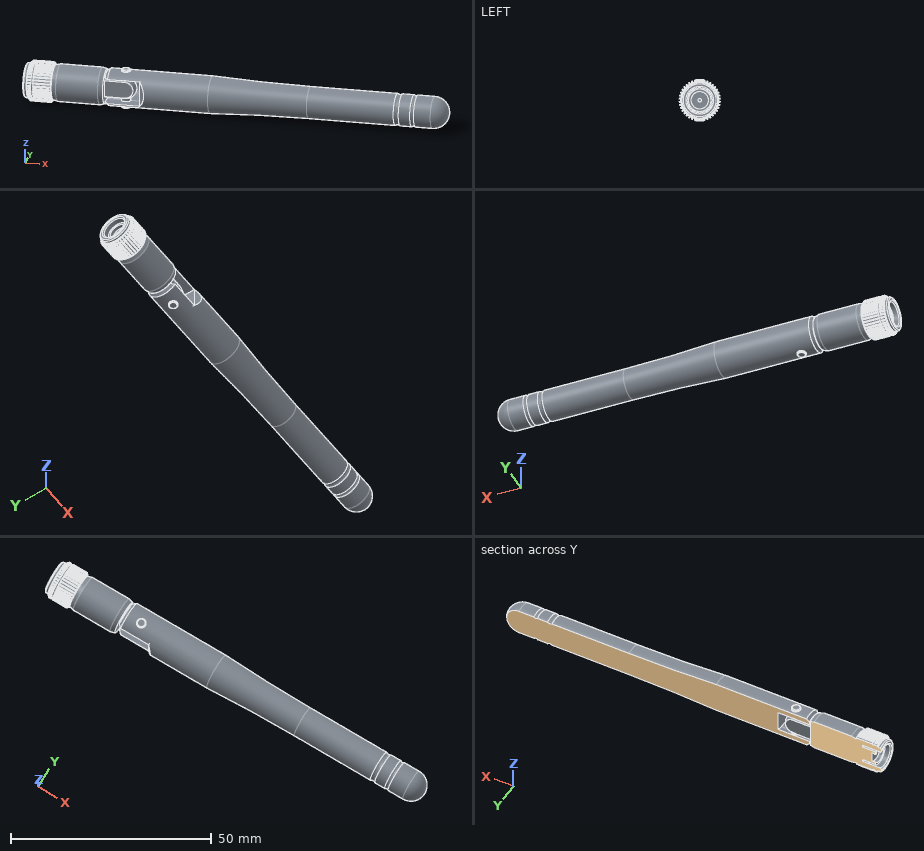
import cadquery as cq
import math


TOTAL_LENGTH = 108.2

LIP_RADIUS = 4.4
LIP_CHAMFER = 0.3
GRIP_START = 1.0
GRIP_END = 7.4
GRIP_DIAMETER = 10.3
GRIP_RADIUS = GRIP_DIAMETER / 2
GRIP_CHAMFER = 0.6
BAND_GROOVE_X = 2.2
BAND_GROOVE_WIDTH = 0.5
KNURL_ROOT_RADIUS = 4.7
KNURL_COUNT = 40
KNURL_GROOVE_WIDTH = 0.5

BARREL_RADIUS = 4.8
BARREL_START = GRIP_END
BARREL_END = 20.4
BARREL_EDGE_LENGTH = 1.2
BARREL_EDGE_RADIUS = 4.4

SOCKET_MOUTH_RADIUS = 3.5
SOCKET_RADIUS = 3.1
SOCKET_DEPTH = 5.4
FERRULE_OUTER_RADIUS = 2.8
FERRULE_INNER_RADIUS = 2.2
FERRULE_START = 1.6
INSULATOR_START = 2.7
CONTACT_HOLE_RADIUS = 0.4
CONTACT_HOLE_DEPTH = 2.7

PIVOT_X = 25.5
PIVOT_RADIUS = 1.2
PIVOT_CHAMFER = 0.2
PIVOT_HALF_LENGTH = GRIP_RADIUS
TONGUE_RADIUS = 2.7
TONGUE_FLAT_WIDTH = 4.2
TONGUE_HALF_THICKNESS = math.sqrt(TONGUE_RADIUS**2 - (TONGUE_FLAT_WIDTH / 2) ** 2)

SLEEVE_RADIUS = 4.8
WHIP_START = 20.7
FORK_NOSE_RADIUS = 4.1
FORK_NOSE_LENGTH = 0.9
SLOT_HALF_WIDTH = 3.2
SLOT_END = 29.7

TAPER_START = 47.4
TAPER_END = 72.5
TAPER_MIDDLE_EXCESS = 0.17
ROD_DIAMETER = 8.1
ROD_RADIUS = ROD_DIAMETER / 2
TIP_START = TOTAL_LENGTH - ROD_RADIUS
RING_GROOVES = [(94.6, 95.9), (98.8, 99.8)]
RING_GROOVE_DEPTH = 0.2


def revolve_about_x(profile):
    """Spin a profile given as (x, radius) points about the X axis."""
    return profile.close().revolve(360, (0, 0, 0), (1, 0, 0))


def x_cylinder(radius, start, end):
    return cq.Workplane("YZ").workplane(offset=start).circle(radius).extrude(end - start)


def make_grip():
    """Chamfered grip with straight knurl grooves and a groove around it."""
    grip = x_cylinder(GRIP_RADIUS, GRIP_START, GRIP_END).edges().chamfer(GRIP_CHAMFER)
    groove_depth = GRIP_RADIUS - KNURL_ROOT_RADIUS
    knurl = (
        cq.Workplane("YZ")
        .workplane(offset=GRIP_START)
        .polarArray(GRIP_RADIUS, 0, 360, KNURL_COUNT)
        .rect(2 * groove_depth, KNURL_GROOVE_WIDTH)
        .extrude(GRIP_END - GRIP_START)
    )
    band_end = BAND_GROOVE_X + BAND_GROOVE_WIDTH
    band = x_cylinder(GRIP_RADIUS, BAND_GROOVE_X, band_end).cut(
        x_cylinder(KNURL_ROOT_RADIUS, BAND_GROOVE_X, band_end)
    )
    return grip.cut(knurl).cut(band)


def make_barrel():
    """Barrel with a gentle bevel at each end."""
    return revolve_about_x(
        cq.Workplane("XY")
        .moveTo(BARREL_START, 0)
        .lineTo(BARREL_START, BARREL_EDGE_RADIUS)
        .lineTo(BARREL_START + BARREL_EDGE_LENGTH, BARREL_RADIUS)
        .lineTo(BARREL_END - BARREL_EDGE_LENGTH, BARREL_RADIUS)
        .lineTo(BARREL_END, BARREL_EDGE_RADIUS)
        .lineTo(BARREL_END, 0)
    )


def make_socket():
    """Space to remove from the mating end, leaving the ferrule and insulator standing."""
    mouth_depth = SOCKET_MOUTH_RADIUS - SOCKET_RADIUS
    bore = revolve_about_x(
        cq.Workplane("XY")
        .lineTo(0, SOCKET_MOUTH_RADIUS)
        .lineTo(mouth_depth, SOCKET_RADIUS)
        .lineTo(SOCKET_DEPTH, SOCKET_RADIUS)
        .lineTo(SOCKET_DEPTH, 0)
    )
    ferrule = x_cylinder(FERRULE_OUTER_RADIUS, FERRULE_START, SOCKET_DEPTH)
    recess = x_cylinder(FERRULE_INNER_RADIUS, FERRULE_START, INSULATOR_START)
    contact_hole = x_cylinder(CONTACT_HOLE_RADIUS, INSULATOR_START, INSULATOR_START + CONTACT_HOLE_DEPTH)
    return bore.cut(ferrule).union(recess).union(contact_hole)


def make_pivot():
    return (
        cq.Workplane("XY", origin=(PIVOT_X, 0, 0))
        .circle(PIVOT_RADIUS)
        .extrude(PIVOT_HALF_LENGTH, both=True)
        .edges()
        .chamfer(PIVOT_CHAMFER)
    )


def make_tongue():
    """Ball-ended round bar with a flat on the -Y and +Y sides."""
    bar = x_cylinder(TONGUE_RADIUS, BARREL_END, PIVOT_X)
    ball = cq.Workplane("XY", origin=(PIVOT_X, 0, 0)).sphere(TONGUE_RADIUS)
    slab = cq.Workplane("XY").box(TOTAL_LENGTH, 2 * TONGUE_HALF_THICKNESS, 2 * TONGUE_RADIUS)
    return bar.union(ball).intersect(slab)


def make_connector():
    lip = x_cylinder(LIP_RADIUS, 0, GRIP_START).faces("<X").chamfer(LIP_CHAMFER)
    shell = lip.union(make_grip()).union(make_barrel()).cut(make_socket())
    return shell.union(make_tongue()).union(make_pivot())


def make_whip_blank():
    """Solid of revolution from the fork nose to the domed tip."""
    nose_end = WHIP_START + FORK_NOSE_LENGTH
    taper_middle = ((TAPER_START + TAPER_END) / 2, ROD_RADIUS + TAPER_MIDDLE_EXCESS)
    outline = (
        cq.Workplane("XY")
        .moveTo(WHIP_START, 0)
        .lineTo(WHIP_START, FORK_NOSE_RADIUS)
        .lineTo(nose_end, SLEEVE_RADIUS)
        .lineTo(TAPER_START, SLEEVE_RADIUS)
        .spline([taper_middle, (TAPER_END, ROD_RADIUS)], includeCurrent=True)
    )
    for start, end in RING_GROOVES:
        outline = outline.lineTo(start, ROD_RADIUS).threePointArc(
            ((start + end) / 2, ROD_RADIUS - RING_GROOVE_DEPTH), (end, ROD_RADIUS)
        )
    dome_offset = ROD_RADIUS * math.sqrt(0.5)
    outline = outline.lineTo(TIP_START, ROD_RADIUS).threePointArc(
        (TIP_START + dome_offset, dome_offset), (TOTAL_LENGTH, 0)
    )
    return revolve_about_x(outline)


def make_fork_slot():
    """Round-bottomed slot open towards -Y, its end sloping outwards near the surface."""
    slot_length = SLOT_END - WHIP_START
    bottom = x_cylinder(SLOT_HALF_WIDTH, WHIP_START, SLOT_END)
    opening = cq.Workplane("XY").box(
        slot_length, SLEEVE_RADIUS, 2 * SLOT_HALF_WIDTH, centered=(False, False, True)
    ).translate((WHIP_START, -SLEEVE_RADIUS, 0))
    slope_start = -math.sqrt(SLEEVE_RADIUS**2 - SLOT_HALF_WIDTH**2)
    slope_depth = SLEEVE_RADIUS + slope_start
    slope = (
        cq.Workplane("XY")
        .workplane(offset=-SLOT_HALF_WIDTH)
        .moveTo(SLOT_END, slope_start)
        .lineTo(SLOT_END + slope_depth, -SLEEVE_RADIUS)
        .lineTo(SLOT_END, -SLEEVE_RADIUS)
        .close()
        .extrude(2 * SLOT_HALF_WIDTH)
    )
    return bottom.union(opening).union(slope)


def make_whip():
    return make_whip_blank().cut(make_fork_slot()).cut(make_pivot())


connector = make_connector()
whip = make_whip()

result = cq.Compound.makeCompound([connector.val(), whip.val()])